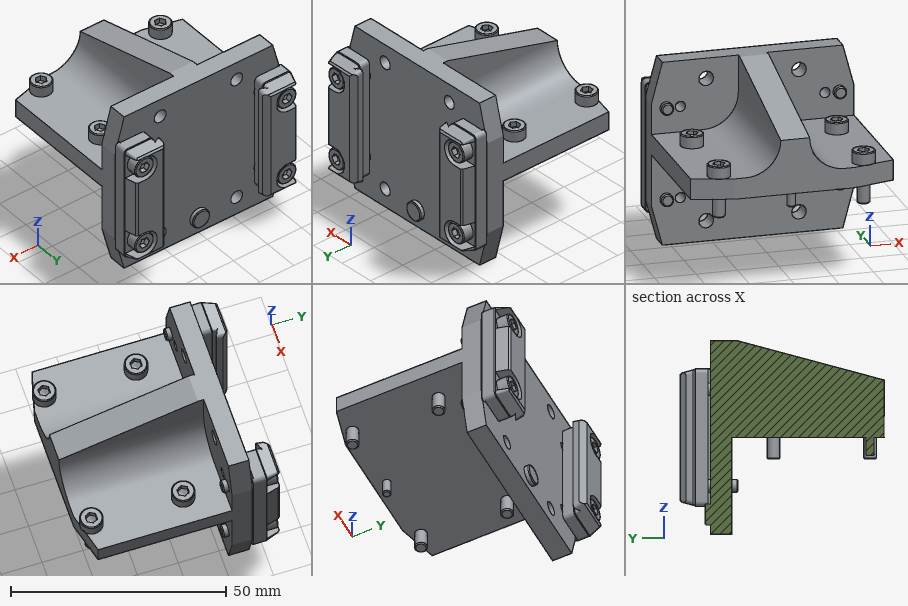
import cadquery as cq
import math

slope_angle = 15.0
slope = math.tan(math.radians(slope_angle))
overlap = 0.1

width = 49.0
height = 45.0
thickness = 5.0
bevel_length = 10.0
bevel_depth = bevel_length * slope
mount_hole_d = 3.5
mount_hole_x = 11.2
mount_hole_z = 17.5
pin_hole_d = 2.45
pin_hole_x = 17.5

shelf_length = 35.45
front_y = -thickness - shelf_length
rib_half = 3.5
rib_radius = 8.5
rib_flat = 1.35
rib_front_z = height / 2 - (shelf_length - rib_flat) * slope

shank_d = 3.0
head_d = 5.5
head_height = 3.0
edge_bevel = 0.25
tip_bevel = 0.3
socket_flats = 2.5
socket_depth = 1.25
socket_point = 0.85
shelf_screw_x = 17.5
screw_pitch = 22.45
front_screw_inset = 3.35
front_screw_y = front_y + front_screw_inset
shelf_screw_length = 10.0
clamp_screw_x = 20.9
clamp_screw_tip = 1.4

dowel_d = 2.0
dowel_length = 4.15
button_d = 5.0
button_height = 1.22
button_z = -17.85

clamp_half_length = 16.0
clamp_inner_x = 16.0
clamp_corner = 1.15
clamp_gap = 0.6
lip_width = 1.15
base_bevel = 0.2
base_top = 3.65
clamp_top = 7.05
hook_tip_x = 14.4
hook_tip_low = 4.05
hook_tip_high = 5.65
hook_tip_flat = 0.45
hook_top_x = 15.8
hook_tip_radius = 1.0
hook_root_x = clamp_inner_x + base_bevel
hook_root_y = 4.75
hook_root_radius = 0.4
cap_bevel = 0.35
cap_corner = 0.6
pocket_radius = 3.4


def make_plate():
    half_w = width / 2
    half_h = height / 2
    corner_x = half_w - bevel_depth
    corner_z = half_h - bevel_length
    outline = [
        (corner_x, half_h), (half_w, corner_z), (half_w, -corner_z), (corner_x, -half_h),
        (-corner_x, -half_h), (-half_w, -corner_z), (-half_w, corner_z), (-corner_x, half_h),
    ]
    plate = cq.Workplane("XZ").polyline(outline).close().extrude(thickness)
    mount_holes = (
        cq.Workplane("XZ")
        .rect(2 * mount_hole_x, 2 * mount_hole_z, forConstruction=True)
        .vertices().circle(mount_hole_d / 2).extrude(thickness)
    )
    pin_holes = (
        cq.Workplane("XZ")
        .rect(2 * pin_hole_x, screw_pitch, forConstruction=True)
        .vertices().circle(pin_hole_d / 2).extrude(thickness)
    )
    return plate.cut(mount_holes).cut(pin_holes)


def make_shelf():
    half_w = width / 2
    bevel_x = half_w - bevel_length
    outline = [
        (-half_w, -thickness), (-half_w, front_y + bevel_depth), (-bevel_x, front_y),
        (bevel_x, front_y), (half_w, front_y + bevel_depth), (half_w, -thickness),
    ]
    return cq.Workplane("XY").polyline(outline).close().extrude(thickness)


def make_rib():
    foot_x = rib_half + rib_radius
    arc_top = thickness + rib_radius
    mid_x = foot_x - rib_radius * math.sqrt(0.5)
    mid_z = arc_top - rib_radius * math.sqrt(0.5)
    section = (
        cq.Workplane("XZ", origin=(0, -thickness, 0))
        .moveTo(-foot_x, thickness)
        .threePointArc((-mid_x, mid_z), (-rib_half, arc_top))
        .lineTo(-rib_half, height / 2)
        .lineTo(rib_half, height / 2)
        .lineTo(rib_half, arc_top)
        .threePointArc((mid_x, mid_z), (foot_x, thickness))
        .close().extrude(shelf_length)
    )
    side = [
        (-thickness, 0), (-thickness, height / 2), (-thickness - rib_flat, height / 2),
        (front_y, rib_front_z), (front_y, 0),
    ]
    profile = cq.Workplane("YZ").polyline(side).close().extrude(width / 2, both=True)
    return section.intersect(profile)


def make_screw(length):
    """Socket head screw along Z with the underside of its head at Z = 0."""
    shank = cq.Workplane("XY").circle(shank_d / 2).extrude(-length)
    shank = shank.faces("<Z").chamfer(tip_bevel)
    head = cq.Workplane("XY").circle(head_d / 2).extrude(head_height)
    head = head.faces(">Z").chamfer(edge_bevel)
    corner_d = socket_flats / math.cos(math.pi / 6)
    point_z = head_height - socket_depth - socket_point
    socket = cq.Workplane("XY", origin=(0, 0, point_z)).polygon(6, corner_d).extrude(head_height)
    drill = (
        cq.Workplane("XZ")
        .polyline([
            (0, point_z), (corner_d / 2, point_z + socket_point),
            (corner_d / 2, head_height), (0, head_height),
        ])
        .close().revolve(360, (0, 0, 0), (0, 1, 0))
    )
    socket = socket.intersect(drill)
    return shank.union(head).cut(socket)


def place_clamp_screw(x, z):
    """Clamp screw with its tip toward -Y, at the given X and Z."""
    length = base_top + thickness + clamp_screw_tip
    return make_screw(length).rotate((0, 0, 0), (1, 0, 0), -90).translate((x, base_top, z))


def make_clamp_base():
    base_width = width / 2 - clamp_inner_x
    base = (
        cq.Workplane("XZ", origin=(-clamp_inner_x - base_width / 2, base_top, 0))
        .rect(base_width, 2 * clamp_half_length).extrude(base_top)
        .edges("|Y").fillet(clamp_corner)
    )
    gap = (
        cq.Workplane("XY")
        .box(base_width, clamp_gap, 2 * clamp_half_length, centered=(False, False, True))
        .translate((lip_width - width / 2, 0, 0))
    )
    return base.faces("<Y or >Y").chamfer(base_bevel).cut(gap)


def make_clamp_cap():
    outer_x = base_bevel - width / 2
    half_length = clamp_half_length - base_bevel
    cap_height = clamp_top - base_top
    inset = cap_height * slope + cap_bevel

    section = [
        (outer_x, base_top), (-hook_root_x, base_top), (-hook_root_x, hook_root_y),
        (-hook_tip_x - hook_tip_flat, hook_tip_low), (-hook_tip_x, hook_tip_low),
        (-hook_tip_x, hook_tip_high), (-hook_top_x, clamp_top),
        (outer_x + inset, clamp_top), (outer_x, clamp_top - inset),
    ]
    cap = cq.Workplane("XY").polyline(section).close().extrude(half_length, both=True)

    blank_width = 2 * (width / 2 - clamp_inner_x)
    blank = (
        cq.Workplane("XZ", origin=(outer_x + blank_width / 2, base_top, 0))
        .rect(blank_width, 2 * half_length).extrude(-cap_height, taper=slope_angle)
        .edges("not(|X or |Z)").fillet(cap_corner)
    )
    cap = cap.intersect(blank)
    tip = cq.selectors.BoxSelector(
        (-hook_tip_x - overlap, hook_tip_low, -width), (-hook_tip_x + overlap, hook_tip_high, width)
    )
    cap = cap.edges(tip).edges("not(|Z)").fillet(hook_tip_radius)
    root = cq.selectors.BoxSelector(
        (-hook_root_x - overlap, base_top + overlap, -width),
        (-hook_root_x + overlap, hook_root_y - overlap, width),
    )
    cap = cap.edges(root).edges("not(|Z)").fillet(hook_root_radius)

    top_z = half_length - inset
    ends = [
        (base_top, -top_z - cap_height), (base_top, top_z + cap_height),
        (clamp_top, top_z), (clamp_top, -top_z),
    ]
    bevels = cq.Workplane("YZ").polyline(ends).close().extrude(width, both=True)
    return cap.intersect(bevels)


def make_clamp():
    """Clamp on the -X side, its hook pointing to +X, with its two screws."""
    cap = make_clamp_cap()
    screws = []
    for z in (-screw_pitch / 2, screw_pitch / 2):
        pocket_center = (-clamp_screw_x, base_top, z)
        pocket = cq.Workplane("XZ", origin=pocket_center).circle(pocket_radius).extrude(-head_d)
        opening = (
            cq.Workplane("XY")
            .box(width / 2, head_d, 2 * pocket_radius, centered=(False, False, True))
            .translate((-clamp_screw_x - width / 2, base_top, z))
        )
        cap = cap.cut(pocket).cut(opening)
        screws.append(place_clamp_screw(-clamp_screw_x, z))
    clamp = make_clamp_base().union(cap)
    for screw in screws:
        clamp = clamp.union(screw)
    return clamp


def make_dowel():
    return (
        cq.Workplane("XY", origin=(0, front_screw_y, overlap)).circle(dowel_d / 2)
        .extrude(-dowel_length - overlap).faces("<Z").chamfer(edge_bevel)
    )


def make_button():
    return (
        cq.Workplane("XZ", origin=(0, -overlap, button_z)).circle(button_d / 2)
        .extrude(-button_height - overlap).faces(">Y").chamfer(edge_bevel)
    )


result = make_plate().union(make_shelf()).union(make_rib())
for screw_x in (-shelf_screw_x, shelf_screw_x):
    for screw_y in (front_screw_y, front_screw_y + screw_pitch):
        result = result.union(make_screw(shelf_screw_length).translate((screw_x, screw_y, thickness)))
result = result.union(make_dowel()).union(make_button())

left_clamp = make_clamp()
right_clamp = left_clamp.mirror("YZ")
result = result.union(left_clamp).union(right_clamp)